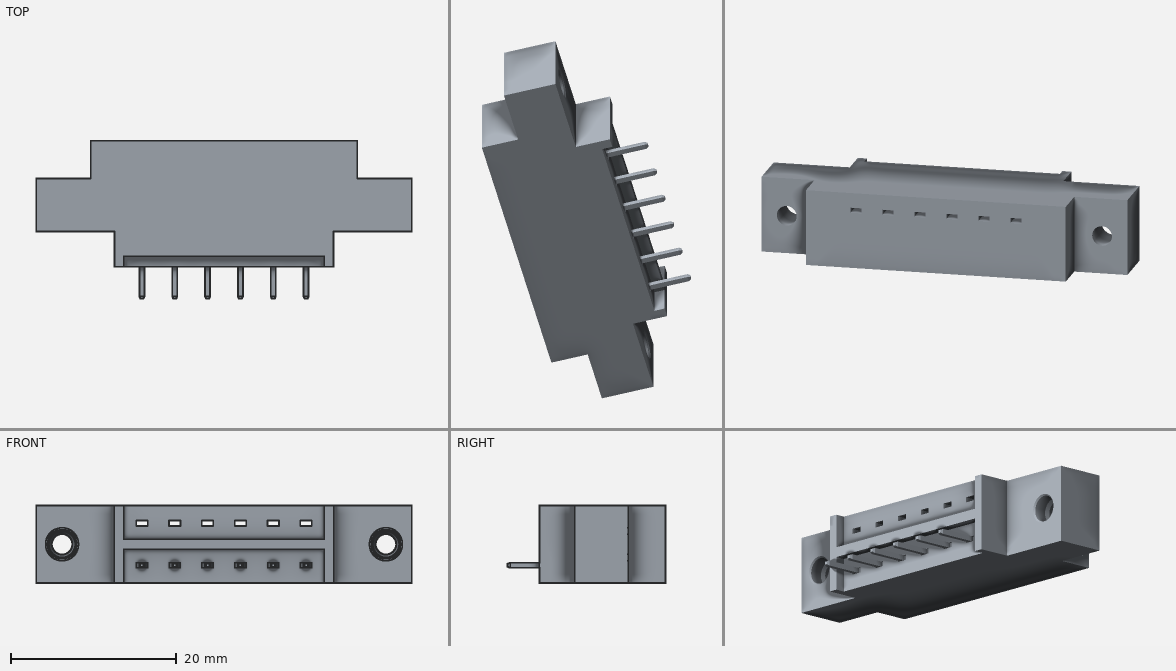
import cadquery as cq

LENGTH = 45.3
HEIGHT = 9.4

FRONT_BLOCK_LENGTH = 26.45
REAR_BLOCK_LENGTH = 32.15
FRONT_BLOCK_DEPTH = 4.25
FLANGE_DEPTH = 6.45
REAR_BLOCK_DEPTH = 4.55
FLANGE_FRONT = FRONT_BLOCK_DEPTH
FLANGE_REAR = FLANGE_FRONT + FLANGE_DEPTH
HOUSING_DEPTH = FLANGE_REAR + REAR_BLOCK_DEPTH

RECESS_LENGTH = 24.2
RECESS_DEPTH = 1.25
RIB_THICKNESS = 1.22
RECESS_HEIGHT = (HEIGHT - RIB_THICKNESS) / 2

CONTACT_COUNT = 6
CONTACT_SPAN = 19.8
CONTACT_PITCH = CONTACT_SPAN / (CONTACT_COUNT - 1)
ROW_HEIGHT = 2.55
SLOT_WIDTH = 1.35
SLOT_HEIGHT = 0.65
PIN_WIDTH = 0.65
PIN_REACH = 3.85
PIN_TIP_LENGTH = 0.3
PIN_TIP_INSET = 0.15
SHOULDER_SETBACK = 0.15
SHOULDER_START = RECESS_DEPTH + SHOULDER_SETBACK
SHOULDER_LENGTH = 0.45

BUSHING_SPACING = 39.05
BUSHING_RADIUS = 2.0
MOUTH_RADIUS = 1.75
COUNTERBORE_RADIUS = 1.6
COUNTERBORE_DEPTH = 1.8
BORE_RADIUS = 1.22

CONTACT_XS = [i * CONTACT_PITCH - CONTACT_SPAN / 2 for i in range(CONTACT_COUNT)]
BUSHING_XS = [-BUSHING_SPACING / 2, BUSHING_SPACING / 2]


def box(length, depth, height, x, front, z):
    """Box centred on x and z, reaching backwards from the plane y = front."""
    return cq.Workplane("XY").box(length, depth, height).translate((x, front + depth / 2, z))


def make_housing():
    half_length = LENGTH / 2
    half_front = FRONT_BLOCK_LENGTH / 2
    half_rear = REAR_BLOCK_LENGTH / 2
    outline = [
        (-half_front, 0),
        (half_front, 0),
        (half_front, FLANGE_FRONT),
        (half_length, FLANGE_FRONT),
        (half_length, FLANGE_REAR),
        (half_rear, FLANGE_REAR),
        (half_rear, HOUSING_DEPTH),
        (-half_rear, HOUSING_DEPTH),
        (-half_rear, FLANGE_REAR),
        (-half_length, FLANGE_REAR),
        (-half_length, FLANGE_FRONT),
        (-half_front, FLANGE_FRONT),
    ]
    housing = cq.Workplane("XY").polyline(outline).close().extrude(HEIGHT / 2, both=True)

    recess_z = (RIB_THICKNESS + RECESS_HEIGHT) / 2
    for side in (-1, 1):
        housing = housing.cut(box(RECESS_LENGTH, RECESS_DEPTH, RECESS_HEIGHT, 0, 0, side * recess_z))
        for x in CONTACT_XS:
            housing = housing.cut(box(SLOT_WIDTH, HOUSING_DEPTH, SLOT_HEIGHT, x, 0, side * ROW_HEIGHT))

    for x in BUSHING_XS:
        seat = cq.Workplane("XZ", origin=(x, FLANGE_FRONT, 0)).circle(BUSHING_RADIUS).extrude(-FLANGE_DEPTH)
        housing = housing.cut(seat)
    return housing


def make_pin(x):
    """Flat contact blade filling its lower slot, necking down to a square pin with a tapered tip."""
    half_slot = SLOT_WIDTH / 2
    half_pin = PIN_WIDTH / 2
    shoulder_end = SHOULDER_START + SHOULDER_LENGTH
    outline = [
        (-half_pin, PIN_TIP_LENGTH - PIN_REACH),
        (half_pin, PIN_TIP_LENGTH - PIN_REACH),
        (half_pin, SHOULDER_START),
        (half_slot, shoulder_end),
        (half_slot, HOUSING_DEPTH),
        (-half_slot, HOUSING_DEPTH),
        (-half_slot, shoulder_end),
        (-half_pin, SHOULDER_START),
    ]
    body = cq.Workplane("XY").polyline(outline).close().extrude(SLOT_HEIGHT / 2, both=True)
    tip = (
        cq.Workplane("XZ", origin=(0, PIN_TIP_LENGTH - PIN_REACH, 0))
        .rect(PIN_WIDTH, SLOT_HEIGHT)
        .workplane(offset=PIN_TIP_LENGTH)
        .rect(PIN_WIDTH - 2 * PIN_TIP_INSET, SLOT_HEIGHT - 2 * PIN_TIP_INSET)
        .loft()
    )
    return body.union(tip).translate((x, 0, -ROW_HEIGHT))


def make_bushing(x):
    """Sleeve flush with both flange faces, counterbored from the front with 45 degree cones."""
    mouth_depth = MOUTH_RADIUS - COUNTERBORE_RADIUS
    cone_depth = COUNTERBORE_RADIUS - BORE_RADIUS
    profile = [
        (BUSHING_RADIUS, 0),
        (MOUTH_RADIUS, 0),
        (COUNTERBORE_RADIUS, mouth_depth),
        (COUNTERBORE_RADIUS, COUNTERBORE_DEPTH),
        (BORE_RADIUS, COUNTERBORE_DEPTH + cone_depth),
        (BORE_RADIUS, FLANGE_DEPTH),
        (BUSHING_RADIUS, FLANGE_DEPTH),
    ]
    sleeve = cq.Workplane("XY").polyline(profile).close().revolve(360, (0, 0, 0), (0, 1, 0))
    return sleeve.translate((x, FLANGE_FRONT, 0))


housing = make_housing()
pins = [make_pin(x) for x in CONTACT_XS]
bushings = [make_bushing(x) for x in BUSHING_XS]

result = cq.Compound.makeCompound([
    housing.val(),
    *[pin.val() for pin in pins],
    *[bushing.val() for bushing in bushings],
])